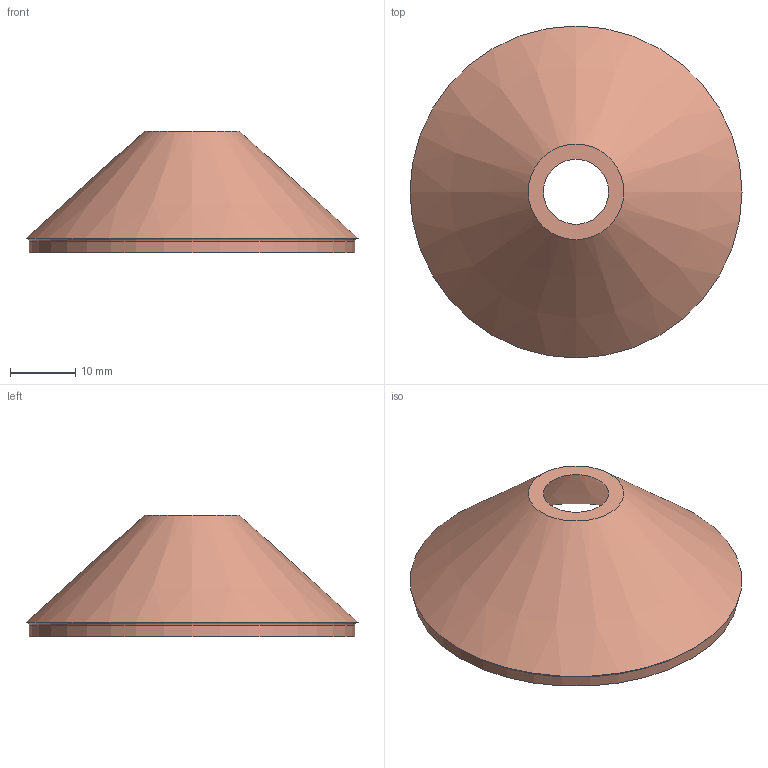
import cadquery as cq
import math

total_height = 18.61
hole_radius = 5.0
top_radius = 7.335
collar_radius = 25.0
lip_fillet = 0.5
lip_height = 2.2
cavity_angle = 45.0

lip_radius = collar_radius + lip_fillet
fillet_start_height = lip_height - lip_fillet

base_opening_radius = hole_radius + total_height / math.tan(math.radians(cavity_angle))


def fillet_middle():
    """Midpoint of the concave quarter round, centred straight below the lip edge."""
    half_way = math.radians(45)
    return (
        lip_radius - lip_fillet * math.cos(half_way),
        fillet_start_height + lip_fillet * math.sin(half_way),
    )


def shade():
    """Hollow conical shade on a short collar, filleted under the lip and revolved about Z."""
    profile = (
        cq.Workplane("XZ")
        .moveTo(base_opening_radius, 0)
        .lineTo(collar_radius, 0)
        .lineTo(collar_radius, fillet_start_height)
        .threePointArc(fillet_middle(), (lip_radius, lip_height))
        .lineTo(top_radius, total_height)
        .lineTo(hole_radius, total_height)
        .close()
    )
    axis_start = (0, 0)
    axis_end = (0, 1)
    return profile.revolve(360, axis_start, axis_end)


result = shade()